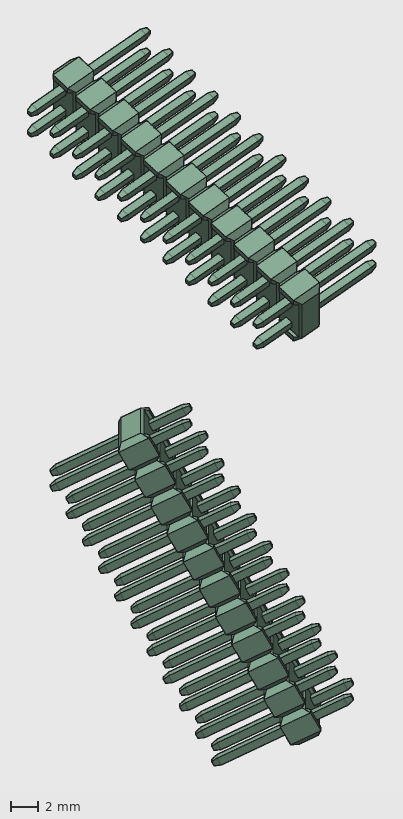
import cadquery as cq


columns = 11
header_length = 27.95
pitch = header_length / columns

housing_depth = 2.51
housing_height = 5.03
bevel = 0.45
recess_depth = 0.28
recess_lip = 0.53

pin_width = 0.65
pin_tip_width = 0.4
pin_tip_length = 0.53
pin_reach_back = 6.0
total_depth = 11.55
pin_reach_front = total_depth - housing_depth - pin_reach_back

front_face_y = -housing_depth / 2
back_face_y = housing_depth / 2
front_tip_y = front_face_y - pin_reach_front
back_tip_y = back_face_y + pin_reach_back


def make_block():
    """One housing block: both X ends bevelled all round, front face recessed between two lips."""
    block = cq.Workplane("XY").box(pitch, housing_depth, housing_height)
    block = block.faces("<X or >X").edges().chamfer(bevel)
    recess = (
        cq.Workplane("XY")
        .box(pitch, recess_depth, housing_height - 2 * recess_lip)
        .translate((0, front_face_y + recess_depth / 2, 0))
    )
    return block.cut(recess)


def make_tip(base_y, direction):
    """Tapered pin end growing from base_y along +Y (direction 1) or -Y (direction -1)."""
    base = cq.Plane(origin=(0, base_y, 0), xDir=(1, 0, 0), normal=(0, direction, 0))
    return (
        cq.Workplane(base)
        .rect(pin_width, pin_width)
        .workplane(offset=pin_tip_length)
        .rect(pin_tip_width, pin_tip_width)
        .loft(ruled=True)
    )


def make_pin():
    """Square pin along Y with a tapered tip at each end."""
    shank_start = front_tip_y + pin_tip_length
    shank_end = back_tip_y - pin_tip_length
    shank = (
        cq.Workplane("XY")
        .box(pin_width, shank_end - shank_start, pin_width)
        .translate((0, (shank_start + shank_end) / 2, 0))
    )
    return shank.union(make_tip(shank_start, -1)).union(make_tip(shank_end, 1))


column = make_block()
for row_z in (-pitch / 2, pitch / 2):
    column = column.union(make_pin().translate((0, 0, row_z)))

first_column_x = -(columns - 1) / 2 * pitch
result = column.translate((first_column_x, 0, 0))
for index in range(1, columns):
    result = result.union(column.translate((first_column_x + index * pitch, 0, 0)))